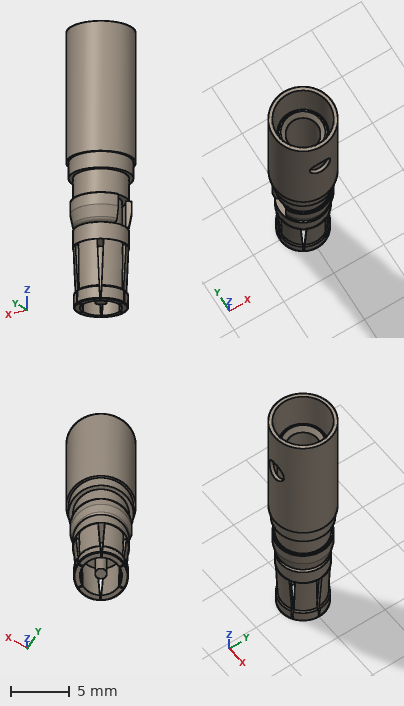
import cadquery as cq
import math

total_height = 25.11
sleeve_bottom_z = 13.26
step_bottom_z = 11.81
ring_top_z = 9.64
ring_taper_z = 8.53
ring_bottom_z = 7.14
collar_top_z = 6.97
collar_bottom_z = 5.44
bead_top_z = 1.29
bead_shoulder_z = 1.14
tip_chamfer = 0.08

sleeve_radius = 5.95 / 2
step_radius = 2.78
neck_radius = 2.41
groove_radius = 1.81
collar_radius = neck_radius
finger_root_radius = 2.36
finger_end_radius = 2.19
bead_radius = 2.33

bore_radius = 2.62
bore_floor_z = 14.0
tube_radius = 2.22
tube_base_radius = 2.40
tube_base_height = 0.2
tube_top_z = 22.05
tube_rim_radius = 2.06
tube_rim_height = 0.35
funnel_mouth_radius = 1.90
funnel_height = 0.5
tube_bore_radius = 1.49
tube_floor_z = bore_floor_z

pin_radius = 0.74
pin_tip_radius = 0.50
pin_tip_height = 0.4
pin_top_z = 17.0
contact_pin_radius = 0.50
pin_bottom_z = 0.5

side_hole_z = 20.37
side_hole_radius = 1.03

finger_count = 6
socket_root_radius = 2.0
socket_tip_radius = 1.80
slot_root_width = 0.54
slot_tip_width = 0.10
slot_inner_radius = 1.2

ring_outer_radius = 2.64
ring_inner_radius = 2.11
ring_lower_radius = 2.37
ring_top_chamfer = 0.08
ring_bottom_round = 0.4
ring_lip_radius = 1.92
ring_lip_height = 0.2
ring_gap_half_angle = 24.3


def revolve_profile(points):
    """Turn a closed (radius, height) outline about the Z axis."""
    return cq.Workplane("XZ").polyline(points).close().revolve(360, (0, 0, 0), (0, 1, 0))


def make_contact_blank():
    return revolve_profile([
        (0, 0),
        (bead_radius - tip_chamfer, 0),
        (bead_radius, tip_chamfer),
        (bead_radius, bead_shoulder_z),
        (finger_end_radius, bead_top_z),
        (finger_root_radius, collar_bottom_z),
        (collar_radius, collar_bottom_z),
        (collar_radius, collar_top_z),
        (groove_radius, collar_top_z),
        (groove_radius, ring_top_z),
        (neck_radius, ring_top_z),
        (neck_radius, step_bottom_z),
        (step_radius, step_bottom_z),
        (step_radius, sleeve_bottom_z),
        (sleeve_radius, sleeve_bottom_z),
        (sleeve_radius, total_height),
        (0, total_height),
    ])


def make_sleeve_cavity():
    """Everything removed from the sleeve: bore, gap around the tube, tube bore around the pin."""
    return revolve_profile([
        (0, pin_top_z),
        (pin_tip_radius, pin_top_z),
        (pin_radius, pin_top_z - pin_tip_height),
        (pin_radius, tube_floor_z),
        (tube_bore_radius, tube_floor_z),
        (tube_bore_radius, tube_top_z - funnel_height),
        (funnel_mouth_radius, tube_top_z),
        (tube_rim_radius, tube_top_z),
        (tube_radius, tube_top_z - tube_rim_height),
        (tube_radius, bore_floor_z + tube_base_height),
        (tube_base_radius, bore_floor_z),
        (bore_radius, bore_floor_z),
        (bore_radius, total_height),
        (0, total_height),
    ])


def make_side_hole():
    """Round hole through the sleeve wall only, ending in the gap around the tube."""
    hole_end_radius = (tube_radius + bore_radius) / 2
    tube_clearance = cq.Workplane("XY").circle(hole_end_radius).extrude(total_height)
    hole = cq.Workplane("XZ").center(0, side_hole_z).circle(side_hole_radius).extrude(sleeve_radius)
    return hole.cut(tube_clearance)


def make_socket():
    """Tapered space between the fingers and the centre pin."""
    return revolve_profile([
        (0, 0),
        (socket_tip_radius, 0),
        (socket_root_radius, collar_bottom_z),
        (contact_pin_radius, collar_bottom_z),
        (contact_pin_radius, pin_bottom_z),
        (0, pin_bottom_z),
    ])


def make_slot(angle):
    """Slot between two fingers, narrowing towards the tips and clear of the pin."""
    slot = (
        cq.Workplane("YZ")
        .polyline([
            (-slot_tip_width / 2, 0),
            (slot_tip_width / 2, 0),
            (slot_root_width / 2, collar_bottom_z),
            (-slot_root_width / 2, collar_bottom_z),
        ])
        .close()
        .extrude(collar_radius)
    )
    pin_clearance = cq.Workplane("XY").circle(slot_inner_radius).extrude(collar_bottom_z)
    return slot.cut(pin_clearance).rotate((0, 0, 0), (0, 0, 1), angle)


def make_contact():
    contact = make_contact_blank()
    contact = contact.cut(make_sleeve_cavity())
    contact = contact.cut(make_side_hole())
    contact = contact.cut(make_socket())
    for index in range(finger_count):
        contact = contact.cut(make_slot(index * 360 / finger_count))
    return contact


def make_ring():
    """Open retaining ring around the groove, with an inward bottom lip and its gap facing -X."""
    ring = revolve_profile([
        (ring_inner_radius, ring_bottom_z + ring_lip_height),
        (ring_lip_radius, ring_bottom_z),
        (ring_lower_radius, ring_bottom_z),
        (ring_outer_radius, ring_taper_z),
        (ring_outer_radius, ring_top_z - ring_top_chamfer),
        (ring_outer_radius - ring_top_chamfer, ring_top_z),
        (ring_inner_radius, ring_top_z),
    ])
    bottom_outer_edge = ring.faces("<Z").edges(cq.selectors.RadiusNthSelector(-1))
    ring = bottom_outer_edge.fillet(ring_bottom_round)
    gap_reach = 2 * ring_outer_radius
    gap_half_width = gap_reach * math.tan(math.radians(ring_gap_half_angle))
    gap = (
        cq.Workplane("XY", origin=(0, 0, ring_bottom_z))
        .polyline([(0, 0), (-gap_reach, gap_half_width), (-gap_reach, -gap_half_width)])
        .close()
        .extrude(ring_top_z - ring_bottom_z)
    )
    return ring.cut(gap)


contact = make_contact()
ring = make_ring()

result = cq.Compound.makeCompound([contact.val(), ring.val()])